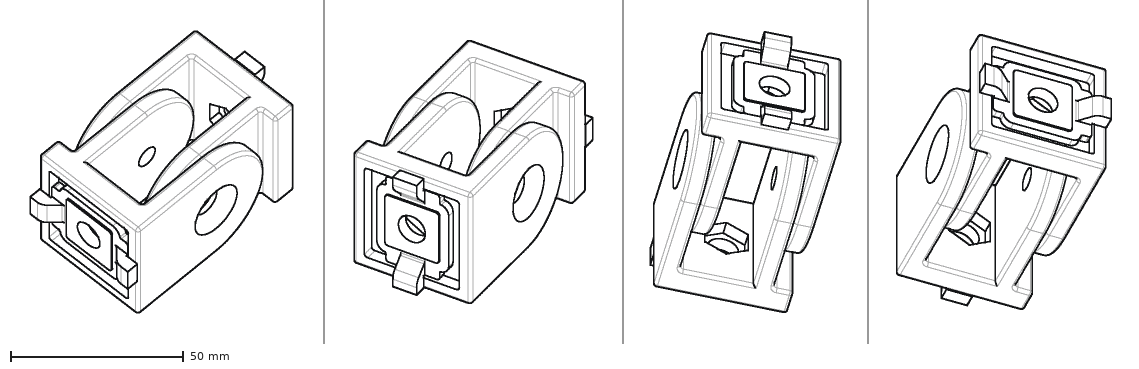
import cadquery as cq
import math

width = 40.0
total_length = 73.0
tab_height = 4.0
end_face = total_length / 2 - tab_height

half_width = width / 2
web_thickness = 7.95
web_inner = end_face - web_thickness
ear_thickness = 6.0
ear_meeting = half_width - ear_thickness
edge_radius = 1.0
selection_margin = 0.1

countersink_diameter = 17.45
clearance_diameter = 9.05
tapped_diameter = 6.8
countersink_depth = (countersink_diameter - clearance_diameter) / 2

recess_size = 32.1
recess_depth = 4.0
boss_size = 18.25
bore_diameter = 9.1
hex_across_flats = 13.0
hex_depth = web_thickness - recess_depth
corner_radius = 1.0

plate_setback = 0.5
plate_thickness = 2.5
plate_back = plate_setback + plate_thickness
plate_size = 24.3
plate_corner_radius = 3.0
wing_span = 30.75
wing_height = 18.25
wing_blend_radius = 0.5
tab_width = 8.1
tab_outer = 19.8
tab_crest = 17.0
tab_radius = 4.0
tab_foot_radius = 1.0


def end_block(size_x, size_z, near, far):
    """Block on the bolt axis, between two depths below the front end face."""
    return (
        cq.Workplane("XY")
        .box(size_x, far - near, size_z)
        .translate((0, -end_face + (near + far) / 2, 0))
    )


def rounded_block(size_x, size_z, radius, near, far):
    """Block on the bolt axis with rounded corners."""
    return end_block(size_x, size_z, near, far).edges("|Y").fillet(radius)


def ear(inner_x):
    """Plate with a round end about the pivot, reaching into the web."""
    web_middle = -web_inner - web_thickness / 2
    return (
        cq.Workplane("YZ", origin=(inner_x, 0, 0))
        .moveTo(web_middle, -half_width)
        .lineTo(0, -half_width)
        .threePointArc((half_width, 0), (0, half_width))
        .lineTo(web_middle, half_width)
        .close()
        .extrude(ear_thickness)
    )


def upright_edges(x_from, x_to):
    """Selector for the mid-height edges along the web's inner face, between two X positions."""
    reach = edge_radius + selection_margin
    return cq.selectors.BoxSelector(
        (x_from, -web_inner - reach, -selection_margin), (x_to, -web_inner + reach, selection_margin)
    )


def fork():
    """Web with an outer ear at +X and an inner ear at -X; only the inner ear's inner corner is sharp."""
    body = end_block(width, width, 0, web_thickness)
    body = body.union(ear(ear_meeting)).union(ear(-ear_meeting))
    near = edge_radius + selection_margin
    left_corner = upright_edges(-ear_meeting - near, -ear_meeting + near)
    right_corner = upright_edges(ear_meeting - near, ear_meeting + near)
    body = body.edges(left_corner + right_corner).fillet(edge_radius)
    all_corners = upright_edges(-ear_meeting - near, ear_meeting + near)
    return body.edges(-all_corners).fillet(edge_radius)


def pivot_cylinder(diameter, start_x, length):
    """Cylinder along the pivot, running toward +X."""
    return cq.Workplane("YZ", origin=(start_x, 0, 0)).circle(diameter / 2).extrude(length)


def countersink():
    """Cone opening from the clearance hole to the outer ear's outer side."""
    return cq.Workplane(
        cq.Solid.makeCone(
            countersink_diameter / 2,
            clearance_diameter / 2,
            countersink_depth,
            pnt=cq.Vector(half_width, 0, 0),
            dir=cq.Vector(-1, 0, 0),
        )
    )


def make_bracket():
    """Bracket with its end face toward -Y."""
    recess = rounded_block(recess_size, recess_size, corner_radius, 0, recess_depth)
    boss = rounded_block(boss_size, boss_size, corner_radius, 0, recess_depth)
    hex_pocket = (
        cq.Workplane("XZ", origin=(0, -web_inner, 0))
        .transformed(rotate=(0, 0, 90))
        .polygon(6, hex_across_flats / math.cos(math.pi / 6))
        .extrude(hex_depth)
    )
    bore = cq.Workplane("XZ", origin=(0, -web_inner, 0)).circle(bore_diameter / 2).extrude(web_thickness)
    return (
        fork()
        .cut(recess)
        .union(boss)
        .cut(hex_pocket)
        .cut(bore)
        .cut(pivot_cylinder(clearance_diameter, ear_meeting, ear_thickness))
        .cut(countersink())
        .cut(pivot_cylinder(tapped_diameter, -ear_meeting, ear_thickness))
    )


def tab():
    """Tab on the +X side: outside the end face it has a flat top and a rounded 45 degree slope."""
    slope_angle = math.pi / 4
    half_angle = slope_angle / 2
    arc_offset = tab_radius * math.sin(slope_angle)
    arc_drop = tab_radius * (1 - math.cos(slope_angle))
    mid_offset = tab_radius * math.sin(half_angle)
    mid_drop = tab_radius * (1 - math.cos(half_angle))
    crest_y = -end_face - tab_height
    slope_top = (tab_crest - arc_offset, crest_y + arc_drop)
    plate_y = -end_face + plate_setback
    slope_foot = (slope_top[0] - (plate_y - slope_top[1]), plate_y)
    back_y = -end_face + plate_back
    return (
        cq.Workplane("XY", origin=(0, 0, -tab_width / 2))
        .moveTo(tab_outer, -end_face)
        .lineTo(tab_outer, crest_y)
        .lineTo(tab_crest, crest_y)
        .threePointArc((tab_crest - mid_offset, crest_y + mid_drop), slope_top)
        .lineTo(*slope_foot)
        .lineTo(boss_size / 2, plate_y)
        .lineTo(boss_size / 2, back_y)
        .lineTo(wing_span / 2, back_y)
        .lineTo(wing_span / 2, -end_face)
        .close()
        .extrude(tab_width)
        .edges(cq.selectors.NearestToPointSelector((*slope_foot, 0)))
        .fillet(tab_foot_radius)
    )


def make_insert():
    """Plate around the boss of the -Y bracket, with a tab at each side that holds the part in line."""
    middle = rounded_block(plate_size, plate_size, plate_corner_radius, plate_setback, plate_back)
    wings = rounded_block(wing_span, wing_height, corner_radius, plate_setback, plate_back)
    plate = middle.union(wings)
    reach_x = plate_size / 2 + selection_margin
    reach_z = wing_height / 2 + selection_margin
    blend_zone = cq.selectors.BoxSelector((-reach_x, -end_face, -reach_z), (reach_x, 0, reach_z))
    plate = plate.edges("|Y").edges(blend_zone).fillet(wing_blend_radius)
    boss_hole = rounded_block(boss_size, boss_size, corner_radius, plate_setback, plate_back)
    return plate.cut(boss_hole).union(tab()).union(tab().mirror("YZ"))


bracket = make_bracket()
insert = make_insert()
brackets = []
inserts = []
for half_turn, quarter_turn in ((0, 0), (180, 90)):
    turned_bracket = bracket.rotate((0, 0, 0), (0, 0, 1), half_turn)
    turned_insert = insert.rotate((0, 0, 0), (0, 1, 0), quarter_turn)
    turned_insert = turned_insert.rotate((0, 0, 0), (0, 0, 1), half_turn)
    brackets.append(turned_bracket.val())
    inserts.append(turned_insert.val())

result = cq.Compound.makeCompound([*brackets, *inserts])